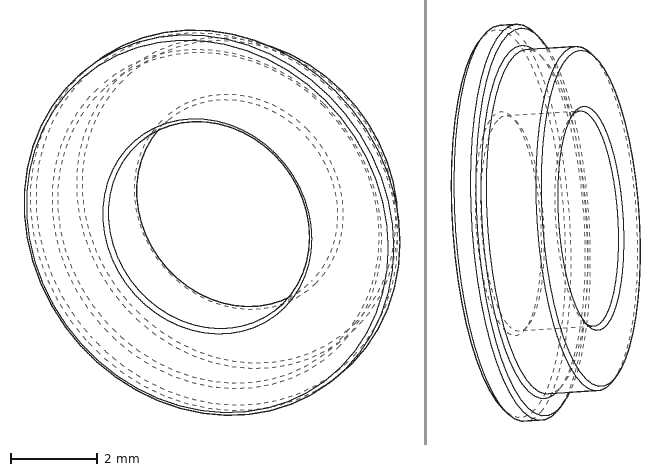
import cadquery as cq

bore_diameter = 5.0
body_diameter = 8.0
flange_diameter = 9.2
total_length = 2.0
flange_thickness = 0.6
edge_break = 0.1

bore_radius = bore_diameter / 2
body_radius = body_diameter / 2
flange_radius = flange_diameter / 2


def ring_half_section():
    """Closed half section in the XY plane: X is the radius, Y is the axial position."""
    return (
        cq.Workplane("XY")
        .moveTo(bore_radius + edge_break, 0)
        .lineTo(flange_radius - edge_break, 0)
        .lineTo(flange_radius, edge_break)
        .lineTo(flange_radius, flange_thickness - edge_break)
        .lineTo(flange_radius - edge_break, flange_thickness)
        .lineTo(body_radius + edge_break, flange_thickness)
        .lineTo(body_radius, flange_thickness + edge_break)
        .lineTo(body_radius, total_length - edge_break)
        .lineTo(body_radius - edge_break, total_length)
        .lineTo(bore_radius + edge_break, total_length)
        .lineTo(bore_radius, total_length - edge_break)
        .lineTo(bore_radius, edge_break)
        .close()
    )


result = ring_half_section().revolve(360, (0, 0, 0), (0, 1, 0))